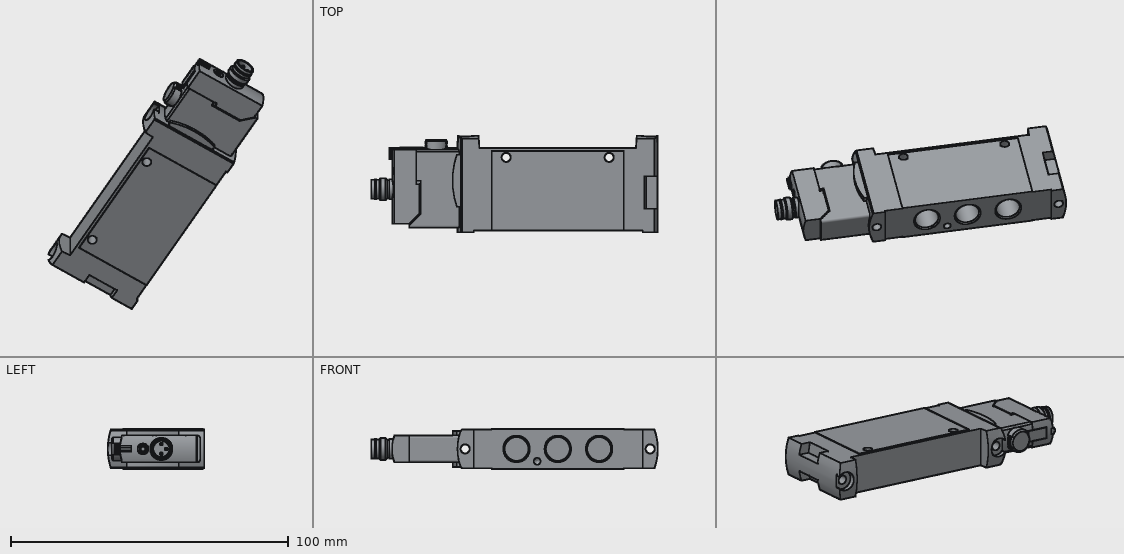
import cadquery as cq
import math


TOTAL_LENGTH = 103.2
TOTAL_WIDTH = 34.8
TOTAL_HEIGHT = 14.4

HOUSING_LEFT = 31.1
END_HALF_HEIGHT = 7.0
END_BOW = 1.2
LEFT_BEVEL = 0.4
FOOT_HEIGHT = 0.6
LEFT_FOOT_LENGTH = 5.9
RIGHT_FOOT_LENGTH = 5.5
BACK_Y = 30.3
LUG_LENGTH = 7.6
LUG_DRAFT = 0.3
LUG_BOW = 1.1
MIDDLE_LEFT = 43.3
MIDDLE_RIGHT = 90.9
MIDDLE_BACK_BOW = 1.1

MOUNT_HOLE_D = 3.2
MOUNT_HOLE_INSET = 2.8
LUG_BORE_D = 6.9
LUG_BORE_DEPTH = 2.3
CROSS_HOLE_XS = (48.6, 85.7)
CROSS_HOLE_Y = 26.9

PORT_D = 8.6
PORT_CHAMFER = 0.5
PORT_DEPTH = 12.4
MIDDLE_PORT_X = 67.2
PORT_PITCH = 14.9
PILOT_HOLE_D = 2.5
PILOT_HOLE_X = 59.8
PILOT_HOLE_Z = -4.4
PILOT_HOLE_DEPTH = 3.1
DRILL_POINT_ANGLE = 118.0

NOTCH_LENGTH = 4.9
NOTCH_SLOPE = 0.6
NOTCH_Y = (8.5, 20.2)
NOTCH_FLOOR_Z = 3.1

COIL_HALF_HEIGHT = 4.9
COIL_LEFT = 13.7
COIL_FRONT_Y = 1.5
COIL_FRONT_RADIUS = 0.9
COIL_BACK_BEVEL = 0.7
COIL_BACK_Y = 30.3
COIL_BACK_EDGE_Y = 29.6
CLIP_Y = (9.2, 28.0)
CLIP_TOP_Z = 6.5
CLIP_LENGTH = 1.8
CLIP_BOW = 1.5

KNOB_X = 23.4
KNOB_D = 8.6
KNOB_TOP_D = 7.2
KNOB_TOP_Y = 33.3
KNOB_CHAMFER_Y = 32.7
GRIP_WIDTH = 4.1
GRIP_LIP_D = 8.0
GRIP_NECK_D = 7.2
GRIP_FLANGE_Y = (30.5, 31.0)
GRIP_NECK_Y = (31.3, 31.6)
GRIP_LIP_Y = (32.0, 32.4)

CAP_LEFT = 7.5
CAP_BOW = 0.8
CAP_FRONT_Y = 3.0
CAP_RIGHT = 16.3
CAP_STEP_X = 17.4
CAP_STEP_Y = 17.3
CAP_DIAGONAL_Y = 6.7
JOINT_GAP = 0.4
REST_LENGTH_Y = 1.1
REST_HALF_HEIGHT = 4.1

PLUG_Y = 15.5
PLUG_D = 6.9
PLUG_RIDGE_D = 7.2
PLUG_COLLAR_D = 8.0
PLUG_GROOVE_D = 6.5
PLUG_RIDGE_X = (1.2, 1.9)
PLUG_COLLAR_X = (3.4, 5.2)
PLUG_COLLAR_FRONT_BEVEL = 0.4
PLUG_COLLAR_REAR_BEVEL = 0.7
PLUG_ROOT_X = 6.5
PLUG_ROOT_D = 7.2
PLUG_BORE_D = 5.8
PLUG_BORE_DEPTH = 5.2
PIN_D = 1.0
PIN_CIRCLE_R = 1.8
PIN_TIP_X = 1.0
PIN_TIP_CHAMFER = 0.2
PIN_ANGLES = (90, 180, 270)

SCREW_Y = 22.1
SCREW_RECESS_D = 3.9
SCREW_RECESS_DEPTH = 1.2
SCREW_HEAD_D = 3.6
SCREW_HEAD_TOP_D = 2.5
SCREW_HEAD_HEIGHT = 0.8
SCREW_SOCKET_D = 1.7

LATCH_Y = 26.2
LATCH_BASE_X = 7.0
LATCH_RIDGE_X = 6.6
LATCH_BASE_WIDTH = 2.2
LATCH_RIDGE_WIDTH = 0.9
TONGUE_X = (10.5, 18.6)
TONGUE_WIDTH = 4.1
TONGUE_TOP_Y = 30.7


def box(x_range, y_range, z_range):
    """Axis-aligned box from its limits."""
    size = [high - low for low, high in (x_range, y_range, z_range)]
    return cq.Workplane("XY").box(*size, centered=False).translate((x_range[0], y_range[0], z_range[0]))


def slab(outline, half_height):
    """XY outline extruded evenly to both sides of Z = 0."""
    return outline.extrude(half_height, both=True)


def y_cylinder(x, z, diameter, y_from, y_to):
    """Cylinder along Y."""
    return cq.Workplane("XZ", origin=(x, y_from, z)).circle(diameter / 2).extrude(y_from - y_to)


def x_cylinder(y, z, diameter, x_from, x_to):
    """Cylinder along X."""
    return cq.Workplane("YZ", origin=(x_from, y, z)).circle(diameter / 2).extrude(x_to - x_from)


def bowed_back(y_front, y_edge, y_crown, half_height, x_left, x_right):
    """Bar along X whose +Y side is bowed from y_edge at its corners to y_crown at Z = 0."""
    profile = (
        cq.Workplane("YZ", origin=(x_left, 0, 0))
        .moveTo(y_edge, half_height)
        .lineTo(y_front, half_height)
        .lineTo(y_front, -half_height)
        .lineTo(y_edge, -half_height)
        .threePointArc((y_crown, 0), (y_edge, half_height))
        .close()
    )
    return profile.extrude(x_right - x_left)


def end_blocks():
    """Both end blocks with feet and lugs, joined through the middle of the housing."""
    left_lug_x = HOUSING_LEFT + LUG_LENGTH
    right_lug_x = TOTAL_LENGTH - LUG_LENGTH
    outline = cq.Workplane("XY").polyline([
        (HOUSING_LEFT, 0),
        (HOUSING_LEFT + LEFT_FOOT_LENGTH, 0),
        (HOUSING_LEFT + LEFT_FOOT_LENGTH, FOOT_HEIGHT),
        (TOTAL_LENGTH - RIGHT_FOOT_LENGTH, FOOT_HEIGHT),
        (TOTAL_LENGTH - RIGHT_FOOT_LENGTH, 0),
        (TOTAL_LENGTH, 0),
        (TOTAL_LENGTH, TOTAL_WIDTH),
        (right_lug_x, TOTAL_WIDTH),
        (right_lug_x - LUG_DRAFT, BACK_Y),
        (left_lug_x + LUG_DRAFT, BACK_Y),
        (left_lug_x, TOTAL_WIDTH),
        (HOUSING_LEFT, TOTAL_WIDTH),
    ]).close()
    blocks = slab(outline, END_HALF_HEIGHT)

    left_edge_x = HOUSING_LEFT + END_BOW
    right_edge_x = TOTAL_LENGTH - END_BOW
    bevel_z = END_HALF_HEIGHT - LEFT_BEVEL
    bowed_ends = (
        cq.Workplane("XZ")
        .moveTo(left_edge_x + LEFT_BEVEL, END_HALF_HEIGHT)
        .lineTo(right_edge_x, END_HALF_HEIGHT)
        .threePointArc((TOTAL_LENGTH, 0), (right_edge_x, -END_HALF_HEIGHT))
        .lineTo(left_edge_x + LEFT_BEVEL, -END_HALF_HEIGHT)
        .lineTo(left_edge_x, -bevel_z)
        .threePointArc((HOUSING_LEFT, 0), (left_edge_x, bevel_z))
        .close()
        .extrude(-TOTAL_WIDTH)
    )
    lug_crown = bowed_back(
        0, TOTAL_WIDTH - LUG_BOW, TOTAL_WIDTH, END_HALF_HEIGHT, HOUSING_LEFT, TOTAL_LENGTH
    )
    return blocks.intersect(bowed_ends).intersect(lug_crown)


def middle_block():
    """Slightly thicker block that carries the ports."""
    return bowed_back(
        FOOT_HEIGHT, BACK_Y - MIDDLE_BACK_BOW, BACK_Y, TOTAL_HEIGHT / 2, MIDDLE_LEFT, MIDDLE_RIGHT
    )


def coil():
    """Coil block in front of the left end face, its -X end cut to clear the plug cap."""
    joined_x = HOUSING_LEFT + END_BOW
    bevel_z = COIL_HALF_HEIGHT - COIL_BACK_BEVEL
    bevel_y = COIL_BACK_EDGE_Y - COIL_BACK_BEVEL
    block = (
        cq.Workplane("YZ", origin=(COIL_LEFT, 0, 0))
        .moveTo(COIL_FRONT_Y, -COIL_HALF_HEIGHT)
        .lineTo(COIL_FRONT_Y, COIL_HALF_HEIGHT)
        .lineTo(bevel_y, COIL_HALF_HEIGHT)
        .lineTo(COIL_BACK_EDGE_Y, bevel_z)
        .threePointArc((COIL_BACK_Y, 0), (COIL_BACK_EDGE_Y, -bevel_z))
        .lineTo(bevel_y, -COIL_HALF_HEIGHT)
        .close()
        .extrude(joined_x - COIL_LEFT)
        .faces("<Y").edges("|X").fillet(COIL_FRONT_RADIUS)
    )
    gap_x = CAP_STEP_X + JOINT_GAP
    rest_y = CAP_STEP_Y + REST_LENGTH_Y
    diagonal_foot_y = CAP_DIAGONAL_Y - (gap_x - COIL_LEFT)
    cap_space = cq.Workplane("XY").polyline([
        (COIL_LEFT, diagonal_foot_y),
        (gap_x, CAP_DIAGONAL_Y),
        (gap_x, rest_y),
        (CAP_RIGHT, rest_y),
        (CAP_RIGHT, TOTAL_WIDTH),
        (COIL_LEFT, TOTAL_WIDTH),
    ]).close()
    rest = box((CAP_RIGHT, gap_x), (CAP_STEP_Y, rest_y), (-REST_HALF_HEIGHT, REST_HALF_HEIGHT))
    return block.cut(slab(cap_space, COIL_HALF_HEIGHT)).union(rest)


def clips():
    """Crescent clips above and below the coil, against the left end face."""
    joined_x = HOUSING_LEFT + END_BOW
    tip_x = HOUSING_LEFT - CLIP_LENGTH
    end_x = tip_x + CLIP_BOW
    y_low, y_high = CLIP_Y
    outline = (
        cq.Workplane("XY")
        .moveTo(joined_x, y_low)
        .lineTo(end_x, y_low)
        .threePointArc((tip_x, (y_low + y_high) / 2), (end_x, y_high))
        .lineTo(joined_x, y_high)
        .close()
    )
    return slab(outline, CLIP_TOP_Z)


def knob_revolve(profile):
    """Solid of revolution about the knob axis from (radius, Y) points."""
    turned = cq.Workplane("XY").polyline(profile).close().revolve(360, (0, 0, 0), (0, 1, 0))
    return turned.translate((KNOB_X, 0, 0))


def knob():
    """Round override knob on the coil's +Y side, with a grooved grip on its +X and -X flanks."""
    base_y = COIL_BACK_EDGE_Y
    knob_r = KNOB_D / 2
    top_r = KNOB_TOP_D / 2
    lip_r = GRIP_LIP_D / 2
    neck_r = GRIP_NECK_D / 2
    body = knob_revolve([
        (0, base_y),
        (knob_r, base_y),
        (knob_r, KNOB_CHAMFER_Y),
        (top_r, KNOB_TOP_Y),
        (0, KNOB_TOP_Y),
    ])
    grooved = knob_revolve([
        (0, base_y),
        (neck_r, base_y),
        (lip_r, GRIP_FLANGE_Y[0]),
        (lip_r, GRIP_FLANGE_Y[1]),
        (neck_r, GRIP_NECK_Y[0]),
        (neck_r, GRIP_NECK_Y[1]),
        (lip_r, GRIP_LIP_Y[0]),
        (lip_r, GRIP_LIP_Y[1]),
        (top_r, KNOB_TOP_Y),
        (0, KNOB_TOP_Y),
    ])
    grip_zone = box(
        (KNOB_X - KNOB_D, KNOB_X + KNOB_D),
        (base_y, KNOB_TOP_Y),
        (-GRIP_WIDTH / 2, GRIP_WIDTH / 2),
    )
    return body.cut(grip_zone).union(grooved.intersect(grip_zone))


def mount_holes():
    """Counterbored holes along Y through the end blocks, and plain holes along Z."""
    holes = cq.Workplane("XY")
    for x in (HOUSING_LEFT + MOUNT_HOLE_INSET, TOTAL_LENGTH - MOUNT_HOLE_INSET):
        holes = holes.union(y_cylinder(x, 0, MOUNT_HOLE_D, 0, TOTAL_WIDTH))
        holes = holes.union(y_cylinder(x, 0, LUG_BORE_D, TOTAL_WIDTH - LUG_BORE_DEPTH, TOTAL_WIDTH))
    for x in CROSS_HOLE_XS:
        circle = cq.Workplane("XY").center(x, CROSS_HOLE_Y).circle(MOUNT_HOLE_D / 2)
        holes = holes.union(slab(circle, TOTAL_HEIGHT / 2))
    return holes


def port(x):
    """Blind port with a chamfered mouth in the -Y side."""
    mouth_r = PORT_D / 2 + PORT_CHAMFER
    bore = y_cylinder(x, 0, PORT_D, FOOT_HEIGHT, FOOT_HEIGHT + PORT_DEPTH)
    mouth = cq.Solid.makeCone(
        mouth_r, PORT_D / 2, PORT_CHAMFER, cq.Vector(x, FOOT_HEIGHT, 0), cq.Vector(0, 1, 0)
    )
    return bore.union(cq.Workplane(mouth))


def pilot_hole():
    """Small drilled hole with a conical bottom."""
    bottom_y = FOOT_HEIGHT + PILOT_HOLE_DEPTH
    radius = PILOT_HOLE_D / 2
    point_height = radius / math.tan(math.radians(DRILL_POINT_ANGLE / 2))
    bore = y_cylinder(PILOT_HOLE_X, PILOT_HOLE_Z, PILOT_HOLE_D, FOOT_HEIGHT, bottom_y)
    point = cq.Solid.makeCone(
        radius, 0, point_height, cq.Vector(PILOT_HOLE_X, bottom_y, PILOT_HOLE_Z), cq.Vector(0, 1, 0)
    )
    return bore.union(cq.Workplane(point))


def end_notches():
    """Notches with a sloped inner wall in the right end, above and below."""
    left_x = TOTAL_LENGTH - NOTCH_LENGTH
    y_low, y_high = NOTCH_Y
    upper = (
        cq.Workplane("XZ", origin=(0, y_low, 0))
        .polyline([
            (left_x, END_HALF_HEIGHT),
            (left_x + NOTCH_SLOPE, NOTCH_FLOOR_Z),
            (TOTAL_LENGTH, NOTCH_FLOOR_Z),
            (TOTAL_LENGTH, END_HALF_HEIGHT),
        ])
        .close()
        .extrude(y_low - y_high)
    )
    return upper.union(upper.mirror("XY"))


def tongue():
    """Flat tongue of the cap that reaches over the +Y side of the coil."""
    return box(TONGUE_X, (COIL_BACK_EDGE_Y, TONGUE_TOP_Y), (-TONGUE_WIDTH / 2, TONGUE_WIDTH / 2))


def make_housing():
    housing = end_blocks().union(middle_block()).union(coil()).union(clips())
    housing = housing.cut(mount_holes()).cut(pilot_hole()).cut(end_notches())
    for step in (-1, 0, 1):
        housing = housing.cut(port(MIDDLE_PORT_X + step * PORT_PITCH))
    return housing.union(knob()).cut(tongue())


def cap_block():
    """Cap with bowed -X and +Y faces and a stepped +X side ending in a 45 degree corner."""
    corner_x = CAP_STEP_X - (CAP_DIAGONAL_Y - CAP_FRONT_Y)
    outline = cq.Workplane("XY").polyline([
        (CAP_LEFT, CAP_FRONT_Y),
        (corner_x, CAP_FRONT_Y),
        (CAP_STEP_X, CAP_DIAGONAL_Y),
        (CAP_STEP_X, CAP_STEP_Y),
        (CAP_RIGHT, CAP_STEP_Y),
        (CAP_RIGHT, COIL_BACK_Y),
        (CAP_LEFT, COIL_BACK_Y),
    ]).close()
    edge_x = CAP_LEFT + CAP_BOW
    bowed_front = (
        cq.Workplane("XZ")
        .moveTo(edge_x, COIL_HALF_HEIGHT)
        .lineTo(CAP_STEP_X, COIL_HALF_HEIGHT)
        .lineTo(CAP_STEP_X, -COIL_HALF_HEIGHT)
        .lineTo(edge_x, -COIL_HALF_HEIGHT)
        .threePointArc((CAP_LEFT, 0), (edge_x, COIL_HALF_HEIGHT))
        .close()
        .extrude(-COIL_BACK_Y)
    )
    back = bowed_back(0, COIL_BACK_EDGE_Y, COIL_BACK_Y, COIL_HALF_HEIGHT, CAP_LEFT, CAP_STEP_X)
    return slab(outline, COIL_HALF_HEIGHT).intersect(bowed_front).intersect(back)


def plug():
    """Round plug with a ridge, a bevelled collar and a groove, hollow around three pins."""
    joined_x = CAP_LEFT + CAP_BOW
    ridge_left, ridge_right = PLUG_RIDGE_X
    collar_left, collar_right = PLUG_COLLAR_X
    shell = (
        cq.Workplane("XY")
        .polyline([
            (0, 0),
            (0, PLUG_D / 2),
            (ridge_left, PLUG_D / 2),
            (ridge_left, PLUG_RIDGE_D / 2),
            (ridge_right, PLUG_RIDGE_D / 2),
            (ridge_right, PLUG_D / 2),
            (collar_left - PLUG_COLLAR_FRONT_BEVEL, PLUG_D / 2),
            (collar_left, PLUG_COLLAR_D / 2),
            (collar_right, PLUG_COLLAR_D / 2),
            (collar_right + PLUG_COLLAR_REAR_BEVEL, PLUG_GROOVE_D / 2),
            (PLUG_ROOT_X, PLUG_GROOVE_D / 2),
            (PLUG_ROOT_X, PLUG_ROOT_D / 2),
            (joined_x, PLUG_ROOT_D / 2),
            (joined_x, 0),
        ])
        .close()
        .revolve(360, (0, 0, 0), (1, 0, 0))
        .translate((0, PLUG_Y, 0))
    )
    shell = shell.cut(x_cylinder(PLUG_Y, 0, PLUG_BORE_D, 0, PLUG_BORE_DEPTH))
    for angle in PIN_ANGLES:
        y = PLUG_Y + PIN_CIRCLE_R * math.cos(math.radians(angle))
        z = PIN_CIRCLE_R * math.sin(math.radians(angle))
        pin = x_cylinder(y, z, PIN_D, PIN_TIP_X, joined_x).faces("<X").chamfer(PIN_TIP_CHAMFER)
        shell = shell.union(pin)
    return shell


def screw_head():
    """Bevelled screw head with a round socket, standing on the floor of its recess."""
    floor_x = CAP_LEFT + SCREW_RECESS_DEPTH
    head = cq.Workplane(cq.Solid.makeCone(
        SCREW_HEAD_D / 2, SCREW_HEAD_TOP_D / 2, SCREW_HEAD_HEIGHT,
        cq.Vector(floor_x, SCREW_Y, 0), cq.Vector(-1, 0, 0)
    ))
    return head.cut(x_cylinder(SCREW_Y, 0, SCREW_SOCKET_D, CAP_LEFT, floor_x))


def latch():
    """Stepped latch rib on the cap's front face."""
    rib = cq.Workplane("XY")
    for x, width in ((LATCH_BASE_X, LATCH_BASE_WIDTH), (LATCH_RIDGE_X, LATCH_RIDGE_WIDTH)):
        step = box((x, CAP_LEFT + CAP_BOW), (LATCH_Y, COIL_BACK_Y), (-width / 2, width / 2))
        rib = rib.union(step)
    return rib


def make_cap():
    recess = x_cylinder(SCREW_Y, 0, SCREW_RECESS_D, CAP_LEFT, CAP_LEFT + SCREW_RECESS_DEPTH)
    return cap_block().cut(recess).union(screw_head()).union(plug()).union(latch()).union(tongue())


housing = make_housing()
cap = make_cap()
result = cq.Compound.makeCompound([housing.val(), cap.val()])